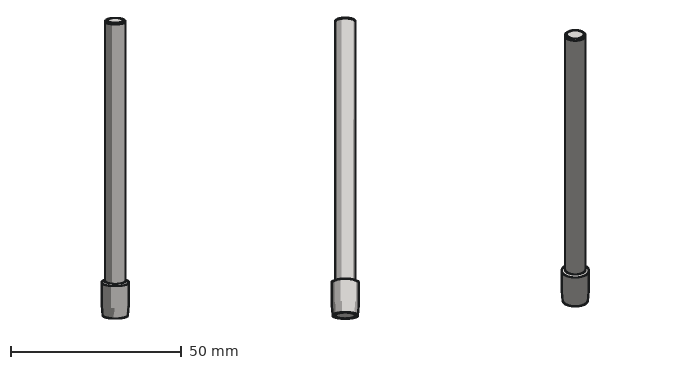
import cadquery as cq

PIN_LENGTH = 90.0
PIN_RADIUS = 6.0 / 2
PIN_BEVEL_WIDTH = 0.495
PIN_BEVEL_HEIGHT = 0.45

SLEEVE_RADIUS = 8.0 / 2
SLEEVE_FOOT_RADIUS = 7.5 / 2
SLEEVE_LENGTH = 10.4
SLEEVE_TAPER_HEIGHT = 3.2
SLEEVE_BEVEL_HEIGHT = 0.45


def revolve_about_z(profile_points):
    """Turn a closed (radius, height) profile about the Z axis."""
    return cq.Workplane("XZ").polyline(profile_points).close().revolve(360, (0, 0), (0, 1))


def make_pin():
    return revolve_about_z([
        (0, 0),
        (PIN_RADIUS, 0),
        (PIN_RADIUS, PIN_LENGTH - PIN_BEVEL_HEIGHT),
        (PIN_RADIUS - PIN_BEVEL_WIDTH, PIN_LENGTH),
        (0, PIN_LENGTH),
    ])


def make_sleeve():
    return revolve_about_z([
        (PIN_RADIUS, 0),
        (SLEEVE_FOOT_RADIUS, 0),
        (SLEEVE_RADIUS, SLEEVE_TAPER_HEIGHT),
        (SLEEVE_RADIUS, SLEEVE_LENGTH - SLEEVE_BEVEL_HEIGHT),
        (PIN_RADIUS, SLEEVE_LENGTH),
    ])


pin = make_pin()
sleeve = make_sleeve()

result = cq.Compound.makeCompound([pin.val(), sleeve.val()])